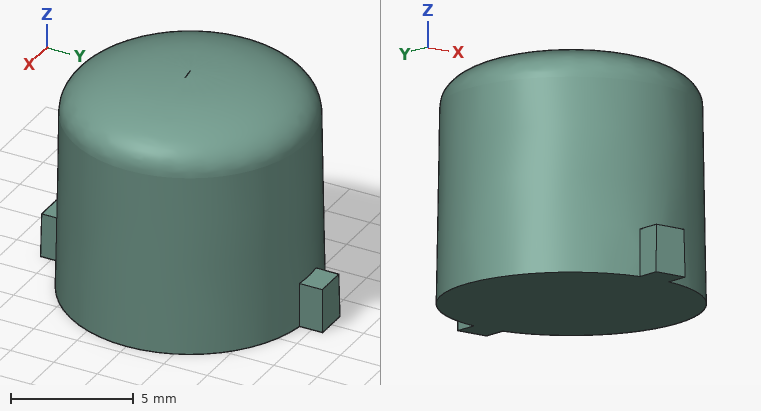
import cadquery as cq
import math

BASE_RADIUS = 5.5
BODY_HEIGHT = 8.2
TOTAL_HEIGHT = 10.15
DRAFT_ANGLE = 1.0

DOME_SHOULDER_RISE = 1.1
DOME_CROWN_REACH = 3.9

TAB_WIDTH = 1.5
TAB_SPAN = 13.02
TAB_HEIGHT = 2.0


def wall_radius(height):
    """Radius of the drafted wall, or of its upward continuation, at a height."""
    return BASE_RADIUS - height * math.tan(math.radians(DRAFT_ANGLE))


def make_cap():
    """Solid button: drafted wall closed by a smooth dome, revolved about Z."""
    shoulder_radius = wall_radius(BODY_HEIGHT)
    handle_height = BODY_HEIGHT + DOME_SHOULDER_RISE
    dome_curve = [
        (shoulder_radius, BODY_HEIGHT),
        (wall_radius(handle_height), handle_height),
        (DOME_CROWN_REACH, TOTAL_HEIGHT),
        (0, TOTAL_HEIGHT),
    ]
    return (
        cq.Workplane("XZ")
        .lineTo(BASE_RADIUS, 0)
        .lineTo(shoulder_radius, BODY_HEIGHT)
        .bezier(dome_curve)
        .close()
        .revolve(360, (0, 0, 0), (0, 1, 0))
    )


def make_tabs():
    """Drafted bar through the axis whose two ends stand out along Y as tabs."""
    return (
        cq.Workplane("XY")
        .rect(TAB_WIDTH, TAB_SPAN)
        .extrude(TAB_HEIGHT, taper=DRAFT_ANGLE)
    )


result = make_cap().union(make_tabs())